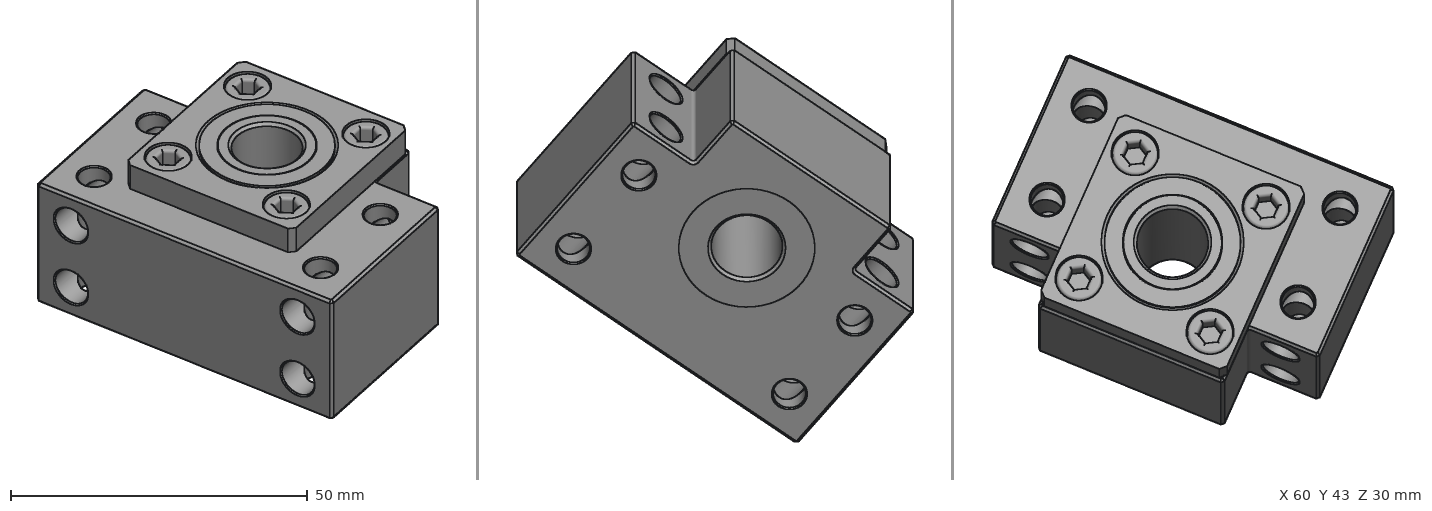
import cadquery as cq
import math


WIDTH = 60.0
HEIGHT = 43.0
DEPTH = 25.0
SHOULDER_HEIGHT = 32.5
EDGE_CHAMFER = 0.5
STEP_FILLET = 0.6
BORE_Y = 25.0

MOUNT_HOLE_X = 23.0
FLANGE_HOLE_DIAMETER = 5.5
FLANGE_HOLE_PITCH = 18.0
FACE_HOLE_DIAMETER = 6.6
FACE_HOLE_LOW_Z = 6.0
FACE_HOLE_PITCH = 13.0
HOLE_CHAMFER = 0.25

COVER_WIDTH = 34.1
COVER_HEIGHT = 35.0
COVER_BOTTOM_Y = 7.5
COVER_THICKNESS = 5.0
COVER_CORNER_CHAMFER = 1.0
COVER_HOLE_CHAMFER = 0.55
TOP_Z = DEPTH + COVER_THICKNESS

BEARING_DIAMETER = 22.9
BEARING_BORE = 12.0
BORE_CHAMFER = 0.55
GROOVE_OUTER_DIAMETER = 16.8
GROOVE_INNER_DIAMETER = 16.55
GROOVE_DEPTH = 0.6

SCREW_OFFSET = 12.0
COUNTERBORE_DIAMETER = 8.0
COUNTERBORE_DEPTH = 4.0
HEAD_DIAMETER = 7.7
HEAD_RECESS = 0.1
HEAD_FILLET = 0.55
SHANK_DIAMETER = 4.0
SHANK_LENGTH = 10.0
SOCKET_ACROSS_FLATS = 3.6
SOCKET_DEPTH = 3.0
SOCKET_FILLET = 0.55

SEAT_Z = TOP_Z - COUNTERBORE_DEPTH
SCREW_TIP_Z = SEAT_Z - SHANK_LENGTH
SCREW_POSITIONS = [
    (x, BORE_Y + dy)
    for x in (-SCREW_OFFSET, SCREW_OFFSET)
    for dy in (-SCREW_OFFSET, SCREW_OFFSET)
]


def z_cylinder(x, y, z_start, z_end, diameter):
    """Cylinder along Z between two heights."""
    return cq.Workplane("XY", origin=(x, y, z_start)).circle(diameter / 2).extrude(z_end - z_start)


def chamfered_hole_cutter(length, diameter, chamfer):
    """Hole cutter along Z from the origin, flared at both ends."""
    radius = diameter / 2
    rim = radius + chamfer
    profile = [
        (0, 0),
        (rim, 0),
        (radius, chamfer),
        (radius, length - chamfer),
        (rim, length),
        (0, length),
    ]
    return cq.Workplane("XZ").polyline(profile).close().revolve(360, (0, 0), (0, 1))


def housing_block():
    """Wide block with a raised middle, chamfered outer edges and filleted inner corners."""
    base = (
        cq.Workplane("XY")
        .box(WIDTH, SHOULDER_HEIGHT, DEPTH, centered=(True, False, False))
        .edges("|Z")
        .chamfer(EDGE_CHAMFER)
    )
    middle = (
        cq.Workplane("XY")
        .box(COVER_WIDTH, HEIGHT, DEPTH, centered=(True, False, False))
        .edges("|Z and >Y")
        .chamfer(EDGE_CHAMFER)
    )
    inner_corners = cq.selectors.BoxSelector(
        (-COVER_WIDTH / 2 - STEP_FILLET, SHOULDER_HEIGHT - STEP_FILLET, 0),
        (COVER_WIDTH / 2 + STEP_FILLET, SHOULDER_HEIGHT + STEP_FILLET, DEPTH),
    )
    block = base.union(middle).clean()
    block = block.edges("|Z").edges(inner_corners).fillet(STEP_FILLET)
    return block.faces("<Z or >Z").chamfer(EDGE_CHAMFER)


def make_housing():
    housing = housing_block()
    housing = housing.cut(z_cylinder(0, BORE_Y, 0, DEPTH, BEARING_DIAMETER))

    flange_cutter = chamfered_hole_cutter(DEPTH, FLANGE_HOLE_DIAMETER, HOLE_CHAMFER)
    face_cutter = chamfered_hole_cutter(SHOULDER_HEIGHT, FACE_HOLE_DIAMETER, HOLE_CHAMFER)
    face_cutter = face_cutter.rotate((0, 0, 0), (1, 0, 0), -90)
    for x in (-MOUNT_HOLE_X, MOUNT_HOLE_X):
        for y in (BORE_Y - FLANGE_HOLE_PITCH, BORE_Y):
            housing = housing.cut(flange_cutter.translate((x, y, 0)))
        for z in (FACE_HOLE_LOW_Z, FACE_HOLE_LOW_Z + FACE_HOLE_PITCH):
            housing = housing.cut(face_cutter.translate((x, 0, z)))

    for x, y in SCREW_POSITIONS:
        housing = housing.cut(z_cylinder(x, y, SCREW_TIP_Z, DEPTH, SHANK_DIAMETER))
    return housing


def make_cover():
    """Plate with chamfered corners, a chamfered bearing hole and counterbored screw holes."""
    cover = (
        cq.Workplane("XY", origin=(0, COVER_BOTTOM_Y, DEPTH))
        .box(COVER_WIDTH, COVER_HEIGHT, COVER_THICKNESS, centered=(True, False, False))
        .edges("|Z")
        .chamfer(COVER_CORNER_CHAMFER)
    )
    cover = cover.cut(z_cylinder(0, BORE_Y, DEPTH, TOP_Z, BEARING_DIAMETER))
    cover = cover.faces(">Z").edges("%CIRCLE").chamfer(COVER_HOLE_CHAMFER)
    for x, y in SCREW_POSITIONS:
        cover = cover.cut(z_cylinder(x, y, DEPTH, TOP_Z, SHANK_DIAMETER))
        cover = cover.cut(z_cylinder(x, y, SEAT_Z, TOP_Z, COUNTERBORE_DIAMETER))
    return cover


def make_bearing():
    """Insert flush with both ends, with a chamfered bore and a narrow ring groove on top."""
    bearing = z_cylinder(0, BORE_Y, 0, TOP_Z, BEARING_DIAMETER)
    bore_cutter = chamfered_hole_cutter(TOP_Z, BEARING_BORE, BORE_CHAMFER)
    bearing = bearing.cut(bore_cutter.translate((0, BORE_Y, 0)))
    groove_z = TOP_Z - GROOVE_DEPTH
    groove = z_cylinder(0, BORE_Y, groove_z, TOP_Z, GROOVE_OUTER_DIAMETER)
    groove = groove.cut(z_cylinder(0, BORE_Y, groove_z, TOP_Z, GROOVE_INNER_DIAMETER))
    return bearing.cut(groove)


def make_screw(x, y):
    """Socket-head screw with rounded head rim and rounded socket mouth."""
    head_z = TOP_Z - HEAD_RECESS
    head = z_cylinder(x, y, SEAT_Z, head_z, HEAD_DIAMETER).faces(">Z").edges().fillet(HEAD_FILLET)
    socket_corner_diameter = SOCKET_ACROSS_FLATS / math.cos(math.pi / 6)
    socket = (
        cq.Workplane("XY", origin=(x, y, head_z))
        .polygon(6, socket_corner_diameter)
        .extrude(-SOCKET_DEPTH)
        .rotate((x, y, 0), (x, y, 1), 30)
    )
    head = head.cut(socket)
    head = head.faces(">Z").edges("%LINE").fillet(SOCKET_FILLET)
    return head.union(z_cylinder(x, y, SCREW_TIP_Z, SEAT_Z, SHANK_DIAMETER))


housing = make_housing()
cover = make_cover()
bearing = make_bearing()
screws = [make_screw(x, y) for x, y in SCREW_POSITIONS]

result = cq.Compound.makeCompound(
    [housing.val(), cover.val(), bearing.val(), *[screw.val() for screw in screws]]
)